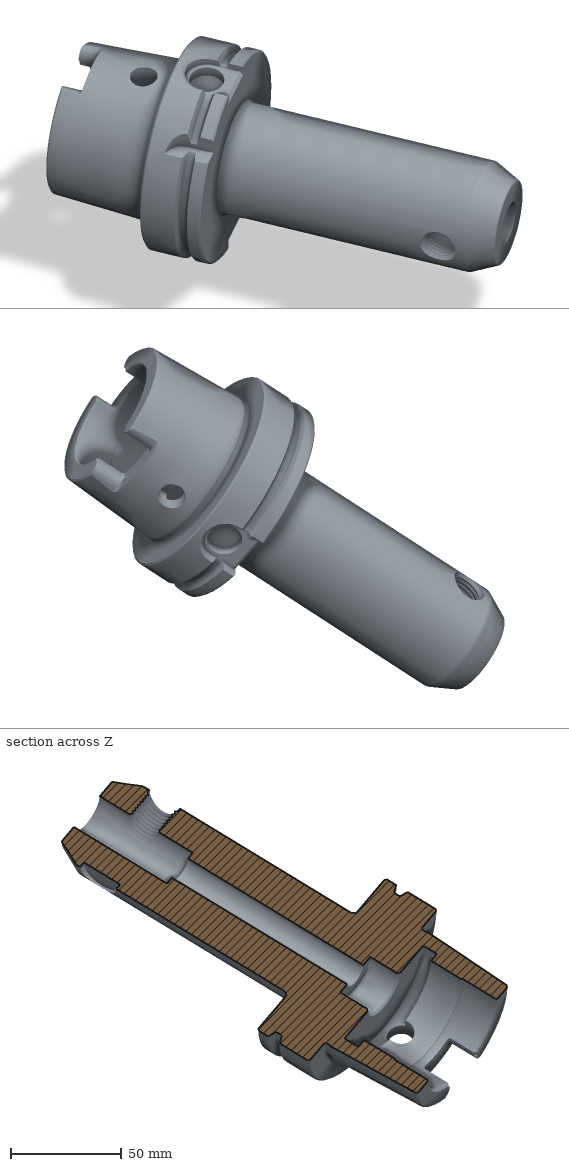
import cadquery as cq
import math

shank_start = -50.0
flange_width = 29.0
nose_end = 160.0
neck_relief_length = 2.7

taper_rate = 0.05
gauge_radius = 37.5
gauge_offset = 10.0
relief_depth = 0.4
relief_fillet = 1.2
shank_chamfer = 0.8

flange_radius = 50.0
flange_chamfer = 0.8
groove_centre = 19.7
groove_mouth_width = 6.2
groove_floor_width = 3.2
groove_floor_radius = 46.0
groove_fillet = 0.7

body_radius = 26.0
collar_radius = 27.2
collar_length = 2.0
nose_start = 147.3
nose_radius = 19.8
nose_fillet = 1.0
shoulder_fillet = 3.0

mouth_radius = 26.5
mouth_chamfer = 0.6
mouth_depth = 19.0
land_radius = 26.0
land_end = -13.5
chamber_radius = 30.5
chamber_end = -6.0
tube_seat_radius = 11.6
tube_seat_chamfer = 1.0
tube_seat_depth = 16.0
coolant_radius = 6.2
tool_bore_radius = 10.0
tool_bore_depth = 52.0

slot_half_width = 10.0
slot_round = 5.0
slot_shelf_height = 32.0
upper_slot_depth = 10.0
lower_slot_depth = 15.0
slot_root_fillet = 1.5
slot_edge_chamfer = 1.0

keyway_centre = 15.0
keyway_radius = 10.0
keyway_floor = 44.5
keyway_chamfer = 1.2
keyway_floor_chamfer = 1.5
chip_hole_radius = 8.0
chip_hole_depth = 5.0

notch_level = 31.2
notch_start = 8.2
notch_corner_radius = 9.0

access_hole_x = -15.2
access_hole_radius = 6.3
screw_x = nose_end - 25.0
screw_radius = 7.2
screw_mouth_radius = 8.5
thread_pitch = 2.0
thread_depth = 0.9
balance_radius = 10.0
balance_depth = 3.0

overcut = 5.0
selection_margin = 0.1


def taper_radius(x):
    """Outside radius of the taper at station x."""
    return gauge_radius + taper_rate * (x + gauge_offset)


def cylinder_x(x_start, x_end, radius):
    """Solid cylinder on the X axis between two stations."""
    return cq.Workplane("YZ", origin=(x_start, 0, 0)).circle(radius).extrude(x_end - x_start)


def cone_x(x_start, x_end, radius_start, radius_end):
    """Solid truncated cone on the X axis between two stations."""
    solid = cq.Solid.makeCone(
        radius_start, radius_end, x_end - x_start, cq.Vector(x_start, 0, 0), cq.Vector(1, 0, 0)
    )
    return cq.Workplane(solid)


def taper_shank():
    """Tapered shank with an undercut next to the flange, rounded into the contact face."""
    relief_start = -neck_relief_length
    relief_radius = taper_radius(relief_start) - relief_depth
    profile = (
        cq.Workplane("XY")
        .moveTo(shank_start, 0)
        .lineTo(shank_start, taper_radius(shank_start) - shank_chamfer)
        .lineTo(shank_start + shank_chamfer, taper_radius(shank_start + shank_chamfer))
        .lineTo(relief_start, taper_radius(relief_start))
        .lineTo(relief_start + relief_depth, relief_radius)
        .lineTo(-relief_fillet, relief_radius)
        .radiusArc((0, relief_radius + relief_fillet), -relief_fillet)
        .lineTo(0, 0)
        .close()
    )
    return profile.revolve(360, (0, 0, 0), (1, 0, 0))


def groove_ring():
    """Ring cut for the V-shaped gripper groove, with rounded floor corners."""
    ring = (
        cq.Workplane("XY")
        .moveTo(groove_centre - groove_mouth_width / 2, flange_radius)
        .lineTo(groove_centre - groove_floor_width / 2, groove_floor_radius)
        .lineTo(groove_centre + groove_floor_width / 2, groove_floor_radius)
        .lineTo(groove_centre + groove_mouth_width / 2, flange_radius)
        .close()
        .revolve(360, (0, 0, 0), (1, 0, 0))
    )
    return ring.edges(cq.selectors.RadiusNthSelector(0)).fillet(groove_fillet)


def keyway():
    """Cutter for a round-ended keyway whose floor is bevelled at the back of the flange."""
    height = flange_radius + overcut - keyway_floor
    plane = cq.Workplane("XY", origin=(keyway_centre, 0, keyway_floor))
    run = flange_width - keyway_centre
    straight = plane.center(run / 2, 0).rect(run, 2 * keyway_radius).extrude(height)
    floor_bevel = (
        cq.Workplane("XZ", origin=(0, keyway_radius, 0))
        .moveTo(flange_width - keyway_floor_chamfer, keyway_floor)
        .lineTo(flange_width, keyway_floor - keyway_floor_chamfer)
        .lineTo(flange_width, keyway_floor)
        .close()
        .extrude(2 * keyway_radius)
    )
    return plane.circle(keyway_radius).extrude(height).union(straight).union(floor_bevel)


def chip_hole():
    """Blind round pocket in the keyway floor."""
    plane = cq.Workplane("XY", origin=(keyway_centre, 0, keyway_floor - chip_hole_depth))
    return plane.circle(chip_hole_radius).extrude(chip_hole_depth)


def keyway_rim(disc):
    """Edges where the keyway walls meet the outside diameter of the flange."""
    reach = keyway_radius + selection_margin
    front = selection_margin
    back = flange_width - selection_margin
    inner = keyway_floor + selection_margin
    outer = flange_radius + selection_margin
    upper = cq.selectors.BoxSelector((front, -reach, inner), (back, reach, outer))
    lower = cq.selectors.BoxSelector((front, -reach, -outer), (back, reach, -inner))
    return disc.edges(upper + lower)


def flange():
    """Flange disc with two opposite keyways, their pockets and the gripper groove."""
    disc = cylinder_x(0, flange_width, flange_radius)
    for turn in (0, 180):
        disc = disc.cut(keyway().rotate((0, 0, 0), (1, 0, 0), turn))
    disc = keyway_rim(disc).chamfer(keyway_chamfer)
    envelope = cylinder_x(0, flange_width, flange_radius).edges("%CIRCLE").chamfer(flange_chamfer)
    disc = disc.intersect(envelope).cut(groove_ring())
    for turn in (0, 180):
        disc = disc.cut(chip_hole().rotate((0, 0, 0), (1, 0, 0), turn))
    return disc


def body():
    """Cylindrical body with a tapered nose and a small conical collar at the flange."""
    barrel = cylinder_x(flange_width, nose_start, body_radius)
    nose = cone_x(nose_start, nose_end, body_radius, nose_radius)
    bar = barrel.union(nose)
    bar = bar.faces(">X").edges().fillet(nose_fillet)
    reach = body_radius + selection_margin
    shoulder = cq.selectors.BoxSelector(
        (nose_start - selection_margin, -reach, -reach),
        (nose_start + selection_margin, reach, reach),
    )
    bar = bar.edges(shoulder).fillet(shoulder_fillet)
    collar = cone_x(flange_width, flange_width + collar_length, collar_radius, body_radius)
    return bar.union(collar)


def internal_bores():
    """Clamping socket, coolant tube seat, coolant passage and tool bore."""
    land_start = shank_start + mouth_depth
    seat_end = chamber_end + tube_seat_depth
    tool_bore_start = nose_end - tool_bore_depth
    profile = (
        cq.Workplane("XY")
        .moveTo(shank_start, 0)
        .lineTo(shank_start, mouth_radius + mouth_chamfer)
        .lineTo(shank_start + mouth_chamfer, mouth_radius)
        .lineTo(land_start, mouth_radius)
        .lineTo(land_start, land_radius)
        .lineTo(land_end, land_radius)
        .lineTo(land_end, chamber_radius)
        .lineTo(chamber_end, chamber_radius)
        .lineTo(chamber_end, tube_seat_radius + tube_seat_chamfer)
        .lineTo(chamber_end + tube_seat_chamfer, tube_seat_radius)
        .lineTo(seat_end, tube_seat_radius)
        .lineTo(seat_end, coolant_radius)
        .lineTo(tool_bore_start, coolant_radius)
        .lineTo(tool_bore_start, tool_bore_radius)
        .lineTo(nose_end, tool_bore_radius)
        .lineTo(nose_end, 0)
        .close()
    )
    return profile.revolve(360, (0, 0, 0), (1, 0, 0))


def drive_slot(depth, side):
    """Slot across the shank wall with rounded flanks; side is +1 for +Z and -1 for -Z."""
    flank_top = slot_half_width + slot_round
    round_start = slot_shelf_height - slot_round
    bend = slot_round * math.sqrt(0.5)
    bend_y = flank_top - bend
    bend_z = round_start + bend
    outer_y = flank_top + overcut
    outer_z = gauge_radius + overcut
    cutter = (
        cq.Workplane("YZ", origin=(shank_start - overcut, 0, 0))
        .moveTo(-slot_half_width, 0)
        .lineTo(-slot_half_width, side * round_start)
        .threePointArc((-bend_y, side * bend_z), (-flank_top, side * slot_shelf_height))
        .lineTo(-outer_y, side * slot_shelf_height)
        .lineTo(-outer_y, side * outer_z)
        .lineTo(outer_y, side * outer_z)
        .lineTo(outer_y, side * slot_shelf_height)
        .lineTo(flank_top, side * slot_shelf_height)
        .threePointArc((bend_y, side * bend_z), (slot_half_width, side * round_start))
        .lineTo(slot_half_width, 0)
        .close()
        .extrude(overcut + depth)
    )
    cutter = cutter.faces(">X").edges().fillet(slot_root_fillet)
    bevel_width = slot_half_width + slot_edge_chamfer
    bevel = (
        cq.Workplane("XY")
        .moveTo(shank_start, -bevel_width)
        .lineTo(shank_start + slot_edge_chamfer, -slot_half_width)
        .lineTo(shank_start + slot_edge_chamfer, slot_half_width)
        .lineTo(shank_start, bevel_width)
        .close()
        .extrude(side * round_start)
    )
    return cutter.union(bevel)


def orientation_notch():
    """Square corner cut at -Y +Z whose closed end is rounded about a Z axis."""
    block = cq.Workplane("XY").box(
        flange_width - notch_start + overcut, flange_radius, flange_radius, centered=False
    )
    block = block.translate((notch_start, -notch_level - flange_radius, notch_level))
    return block.edges("|Z and <X and >Y").fillet(notch_corner_radius)


def access_hole():
    """Hole along Z through both walls of the clamping socket."""
    return (
        cq.Workplane("XY", origin=(access_hole_x, 0, -flange_radius))
        .circle(access_hole_radius)
        .extrude(2 * flange_radius)
    )


def screw_hole():
    """Threaded clamping screw hole from -Y into the tool bore, countersunk at 45 degrees.

    The thread is a stack of V-shaped rings about the screw axis.
    """
    mouth_y = -math.sqrt(body_radius**2 - screw_mouth_radius**2)
    thread_start = mouth_y + screw_mouth_radius - screw_radius
    thread_count = int(-thread_start / thread_pitch)
    profile = (
        cq.Workplane("XY", origin=(screw_x, 0, 0))
        .moveTo(0, -body_radius)
        .lineTo(screw_mouth_radius, -body_radius)
        .lineTo(screw_mouth_radius, mouth_y)
        .lineTo(screw_radius, thread_start)
    )
    for turn in range(thread_count):
        crest_y = thread_start + turn * thread_pitch
        profile = profile.lineTo(screw_radius + thread_depth, crest_y + thread_pitch / 2)
        profile = profile.lineTo(screw_radius, crest_y + thread_pitch)
    profile = profile.lineTo(screw_radius, 0).lineTo(0, 0).close()
    return profile.revolve(360, (0, 0, 0), (0, 1, 0))


def balance_recess():
    """Shallow blind recess opposite the clamping screw."""
    recess = cq.Solid.makeCylinder(
        balance_radius, body_radius, cq.Vector(screw_x, body_radius - balance_depth, 0), cq.Vector(0, 1, 0)
    )
    return cq.Workplane(recess)


result = taper_shank().union(flange()).union(body())
result = result.cut(internal_bores())
result = result.cut(drive_slot(upper_slot_depth, 1))
result = result.cut(drive_slot(lower_slot_depth, -1))
result = result.cut(orientation_notch())
result = result.cut(access_hole())
result = result.cut(screw_hole())
result = result.cut(balance_recess())